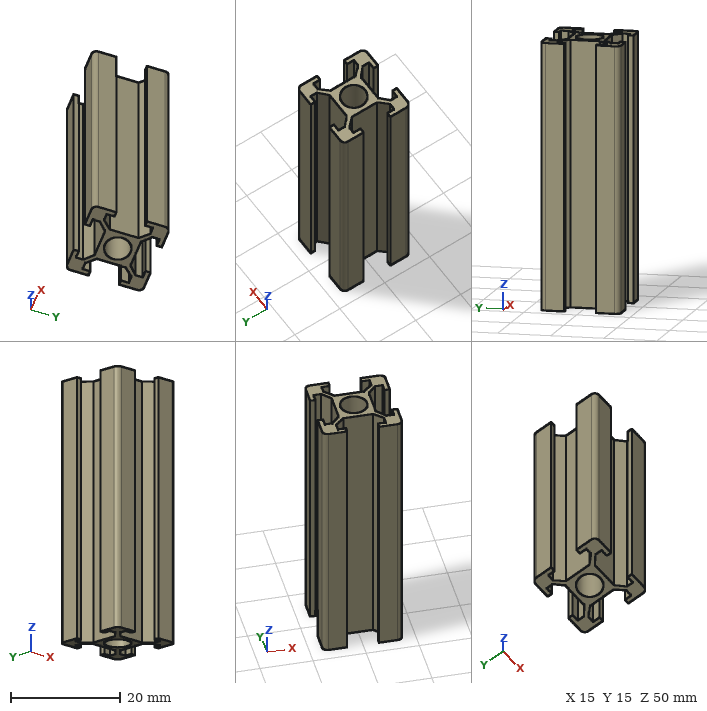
import cadquery as cq

length = 50.0
width = 15.0
corner_radius = 1.0

core_width = 7.0
bore_diameter = 5.0

slot_count = 4
slot_opening = 6.0
slot_inner_width = 9.0
lip_thickness = 1.0
slot_floor_width = 5.6
slot_wall_end = 5.1


def t_slot():
    """Solid filling the slot on the +Y side, used as a cutter."""
    outer_face = width / 2
    lip_inside = outer_face - lip_thickness
    half_profile = [
        (slot_opening / 2, outer_face),
        (slot_opening / 2, lip_inside),
        (slot_inner_width / 2, lip_inside),
        (slot_inner_width / 2, slot_wall_end),
        (slot_floor_width / 2, core_width / 2),
    ]
    mirrored_half = [(-x, y) for x, y in reversed(half_profile)]
    return cq.Workplane("XY").polyline(half_profile + mirrored_half).close().extrude(length)


result = cq.Workplane("XY").rect(width, width).extrude(length).edges("|Z").fillet(corner_radius)

slot = t_slot()
for index in range(slot_count):
    angle = index * 360 / slot_count
    result = result.cut(slot.rotate((0, 0, 0), (0, 0, 1), angle))

bore = cq.Workplane("XY").circle(bore_diameter / 2).extrude(length)
result = result.cut(bore)